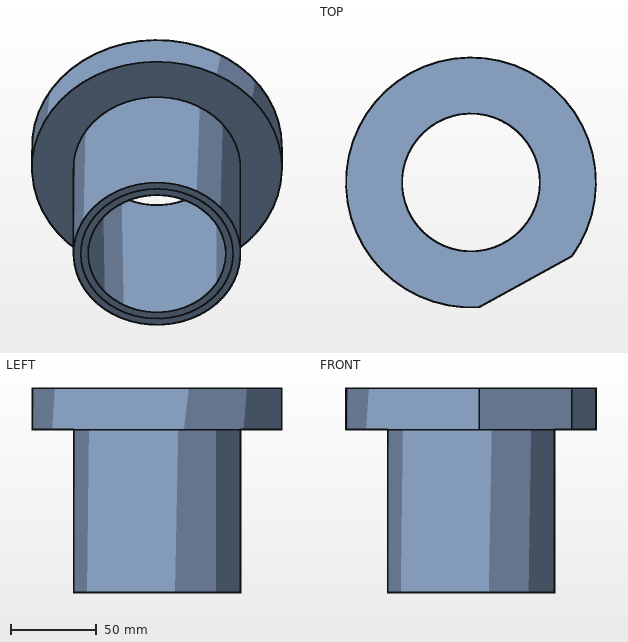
import cadquery as cq

flange_diameter = 145.5
total_height = 119.0
flange_thickness = 24.2
sleeve_diameter = 97.2
bore_diameter = 80.0

flat_distance = 65.9
flat_direction = -61.2

sleeve_length = total_height - flange_thickness
spigot_diameter = (sleeve_diameter + bore_diameter) / 2


def make_ring(outer_diameter, inner_diameter, height, base_z):
    """Upright ring around the Z axis."""
    return (
        cq.Workplane("XY")
        .workplane(offset=base_z)
        .circle(outer_diameter / 2)
        .circle(inner_diameter / 2)
        .extrude(height)
    )


def make_sleeve():
    """Plain tube around the spigot, ending against the underside of the flange."""
    return make_ring(sleeve_diameter, spigot_diameter, sleeve_length, 0)


def make_flange():
    """Flange with one flat on its rim and a bored spigot below."""
    rim = make_ring(flange_diameter, bore_diameter, flange_thickness, sleeve_length)
    beyond_flat = (
        cq.Workplane("XY")
        .box(flange_diameter, flange_diameter, flange_thickness, centered=(False, True, False))
        .translate((flat_distance, 0, sleeve_length))
        .rotate((0, 0, 0), (0, 0, 1), flat_direction)
    )
    spigot = make_ring(spigot_diameter, bore_diameter, sleeve_length, 0)
    return rim.cut(beyond_flat).union(spigot)


sleeve = make_sleeve()
flange = make_flange()
result = cq.Compound.makeCompound([sleeve.val(), flange.val()])